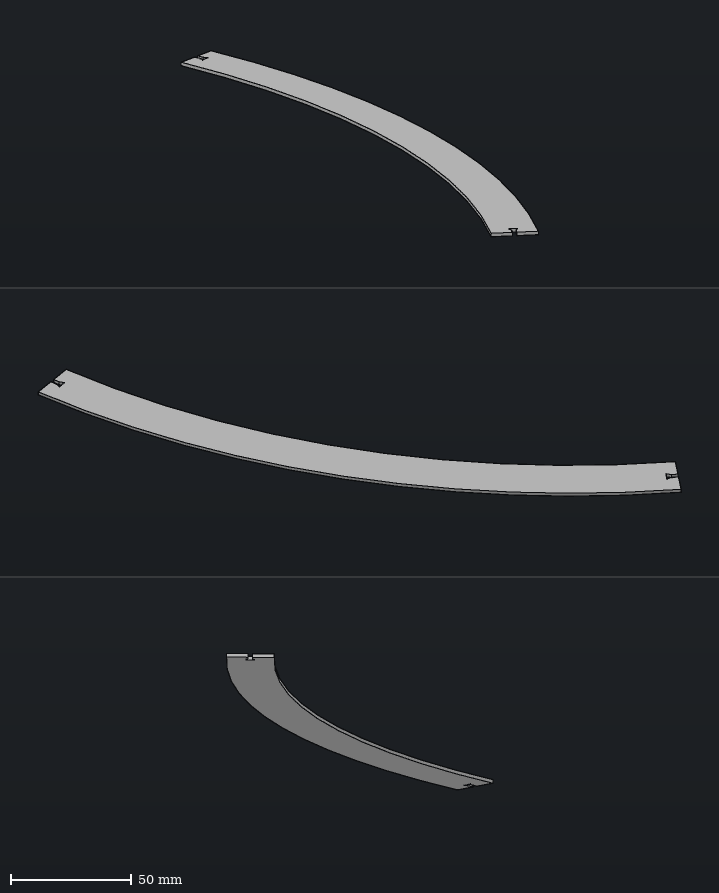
import cadquery as cq
import math

outer_chord = 276.3
outer_radius = 377.1
strip_width = 20.0
thickness = 1.6

mouth_width = 1.88
flared_width = 3.5
flare_length = 2.07
slot_depth = 5.0

inner_radius = outer_radius - strip_width
middle_radius = outer_radius - strip_width / 2
half_angle = math.asin(outer_chord / 2 / outer_radius)


def arc_point(radius, angle):
    """Point at the given radius, with the angle measured from +Y towards +X."""
    return (radius * math.sin(angle), radius * math.cos(angle))


def curved_strip():
    """Ring segment about the origin, symmetric about the Y axis."""
    return (
        cq.Workplane("XY")
        .moveTo(*arc_point(outer_radius, -half_angle))
        .threePointArc(arc_point(outer_radius, 0), arc_point(outer_radius, half_angle))
        .lineTo(*arc_point(inner_radius, half_angle))
        .threePointArc(arc_point(inner_radius, 0), arc_point(inner_radius, -half_angle))
        .close()
        .extrude(thickness)
    )


def right_end_slot():
    """Cutter for the slot in the +X end, drawn upright and then turned onto the end face."""
    outside = slot_depth
    flare_start = flare_length - slot_depth
    return (
        cq.Workplane("XY")
        .moveTo(outside, mouth_width / 2)
        .lineTo(flare_start, mouth_width / 2)
        .lineTo(-slot_depth, flared_width / 2)
        .lineTo(-slot_depth, -flared_width / 2)
        .lineTo(flare_start, -mouth_width / 2)
        .lineTo(outside, -mouth_width / 2)
        .close()
        .extrude(thickness)
        .translate((0, middle_radius, 0))
        .rotate((0, 0, 0), (0, 0, 1), -math.degrees(half_angle))
    )


right_slot = right_end_slot()
left_slot = right_slot.mirror("YZ")
result = curved_strip().cut(right_slot).cut(left_slot)